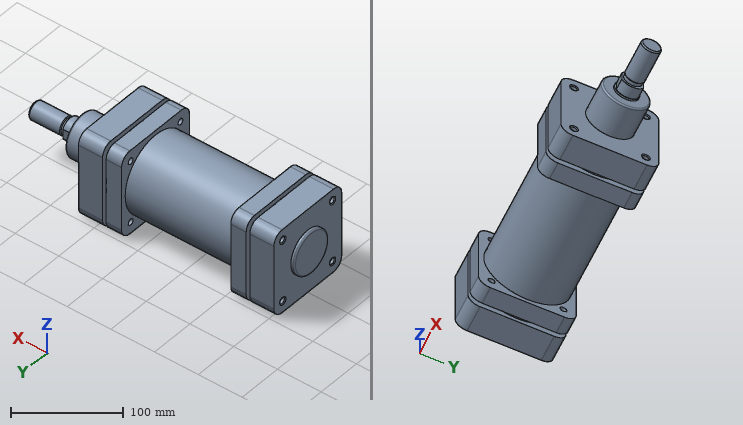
import cadquery as cq

TOTAL_LENGTH = 316.0

BLOCK_SIZE = 96.0
CORNER_RADIUS = 11.7
CAP_LENGTH = 27.5
REAR_CAP_X = 4.0
FRONT_CAP_X = 200.0
FLANGE_LENGTH = 17.7
FLANGE_GAP = 4.0
REAR_FLANGE_X = REAR_CAP_X + CAP_LENGTH + FLANGE_GAP
FRONT_FLANGE_X = FRONT_CAP_X - FLANGE_GAP - FLANGE_LENGTH

BARREL_DIAMETER = 86.0

BOSS_DIAMETER = 48.0
BOSS_EDGE_RADIUS = 1.5
NECK_END_X = 262.0

HOLE_PITCH = 70.5
HOLE_DIAMETER = 6.5
HOLE_CHAMFER = 1.0
CAP_HOLE_DEPTH = 15.8

COLLAR_DIAMETER = 25.0
FLATS_DIAMETER = 24.0
FLATS_WIDTH = 21.5
FLATS_START_X = 264.0
FLATS_END_X = 275.5
GROOVE_DIAMETER = 18.0
THREAD_DIAMETER = 20.0
THREAD_START_X = 280.0
THREAD_CHAMFER_LENGTH = 1.5
THREAD_CHAMFER_DEPTH = 1.0


def rounded_block(start_x, length):
    """Square block with rounded edges along X."""
    block = cq.Workplane("YZ").workplane(offset=start_x).rect(BLOCK_SIZE, BLOCK_SIZE).extrude(length)
    return block.edges("|X").fillet(CORNER_RADIUS)


def cylinder(start_x, end_x, diameter):
    """Solid cylinder on the X axis."""
    return cq.Workplane("YZ").workplane(offset=start_x).circle(diameter / 2).extrude(end_x - start_x)


def corner_cylinders(start_x, length, diameter):
    """Four cylinders on the corner hole pattern."""
    pattern = cq.Workplane("YZ").workplane(offset=start_x).rect(HOLE_PITCH, HOLE_PITCH, forConstruction=True)
    return pattern.vertices().circle(diameter / 2).extrude(length)


def drilled_cap(start_x, outer_face):
    """Cap block with blind, chamfered corner holes in its outer face ("<X" or ">X")."""
    cap = rounded_block(start_x, CAP_LENGTH)
    if outer_face == "<X":
        holes_x = start_x
    else:
        holes_x = start_x + CAP_LENGTH - CAP_HOLE_DEPTH
    cap = cap.cut(corner_cylinders(holes_x, CAP_HOLE_DEPTH, HOLE_DIAMETER))
    smallest_arcs = cq.selectors.RadiusNthSelector(0)
    hole_rims = cap.faces(outer_face).edges("%CIRCLE").edges(smallest_arcs)
    return hole_rims.chamfer(HOLE_CHAMFER)


def make_rear_cap():
    """Rear cap with its short boss, rounded at its rim."""
    boss = cylinder(0, REAR_CAP_X, BOSS_DIAMETER).faces("<X").edges().fillet(BOSS_EDGE_RADIUS)
    return drilled_cap(REAR_CAP_X, "<X").union(boss)


def make_front_cap():
    """Front cap with the long neck that guides the rod, rounded at its rim."""
    neck = cylinder(FRONT_CAP_X + CAP_LENGTH, NECK_END_X, BOSS_DIAMETER)
    neck = neck.faces(">X").edges().fillet(BOSS_EDGE_RADIUS)
    return drilled_cap(FRONT_CAP_X, ">X").union(neck)


def make_barrel():
    """Barrel between the inner faces of the two caps."""
    return cylinder(REAR_CAP_X + CAP_LENGTH, FRONT_CAP_X, BARREL_DIAMETER)


def make_flange(start_x):
    """Square flange that fits around the barrel, with through holes at its corners."""
    flange = rounded_block(start_x, FLANGE_LENGTH)
    flange = flange.cut(cylinder(start_x, start_x + FLANGE_LENGTH, BARREL_DIAMETER))
    return flange.cut(corner_cylinders(start_x, FLANGE_LENGTH, HOLE_DIAMETER))


def make_rod():
    """Stepped rod: collar, wrench flats facing -Y and +Y, undercut groove and plain thread end."""
    collar_radius = COLLAR_DIAMETER / 2
    flats_radius = FLATS_DIAMETER / 2
    groove_radius = GROOVE_DIAMETER / 2
    thread_radius = THREAD_DIAMETER / 2
    lead_in = thread_radius - groove_radius
    rod = (
        cq.Workplane("XY")
        .moveTo(NECK_END_X, 0)
        .lineTo(NECK_END_X, collar_radius)
        .lineTo(FLATS_START_X, collar_radius)
        .lineTo(FLATS_START_X, flats_radius)
        .lineTo(FLATS_END_X, flats_radius)
        .lineTo(FLATS_END_X, groove_radius)
        .lineTo(THREAD_START_X - lead_in, groove_radius)
        .lineTo(THREAD_START_X, thread_radius)
        .lineTo(TOTAL_LENGTH - THREAD_CHAMFER_LENGTH, thread_radius)
        .lineTo(TOTAL_LENGTH, thread_radius - THREAD_CHAMFER_DEPTH)
        .lineTo(TOTAL_LENGTH, 0)
        .close()
        .revolve(360, (0, 0, 0), (1, 0, 0))
    )
    flats_length = FLATS_END_X - FLATS_START_X
    flats_middle_x = (FLATS_START_X + FLATS_END_X) / 2
    for side in (-1, 1):
        cutter_y = side * (FLATS_WIDTH + FLATS_DIAMETER) / 2
        cutter = cq.Workplane("XY").box(flats_length, FLATS_DIAMETER, FLATS_DIAMETER)
        rod = rod.cut(cutter.translate((flats_middle_x, cutter_y, 0)))
    return rod


rear_cap = make_rear_cap()
front_cap = make_front_cap()
barrel = make_barrel()
flanges = [make_flange(start_x) for start_x in (REAR_FLANGE_X, FRONT_FLANGE_X)]
rod = make_rod()

result = cq.Compound.makeCompound([
    rear_cap.val(),
    front_cap.val(),
    barrel.val(),
    *[flange.val() for flange in flanges],
    rod.val(),
])